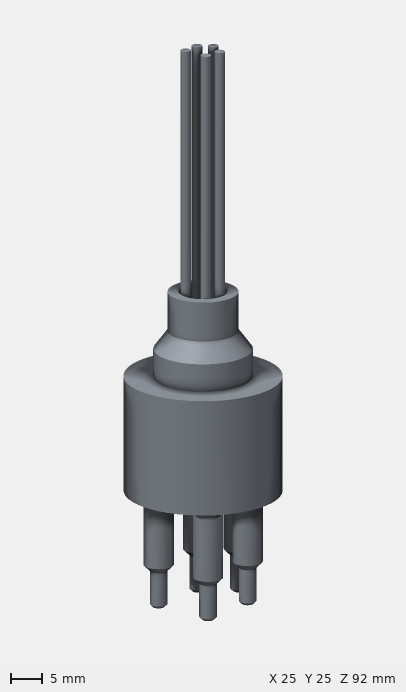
import cadquery as cq

total_height = 92.0
neck_top = 52.0
cone_top = 45.5
cone_bottom = 42.5
body_top = 38.0
body_bottom = 19.0
pin_shoulder = 7.0
pin_tip_top = 6.0

body_diameter = 25.0
collar_diameter = 15.6
neck_diameter = 11.1
recess_diameter = 7.7
recess_floor = cone_top

pin_diameter = 4.8
pin_tip_diameter = 2.8
pin_tip_chamfer = 0.5
pin_offset = 5.0
key_pin_y = 9.0
pin_centers = [(x, y) for x in (-pin_offset, pin_offset) for y in (-pin_offset, pin_offset)]
pin_centers.append((0, key_pin_y))

wire_diameter = 1.7
wire_centers = [(0, 2.6), (2.6, 1.0), (2.0, -1.8), (-2.0, -1.8), (-2.0, 1.0)]


def turn_profile(profile):
    """Turn a closed outline of (radius, height) points fully around the Z axis."""
    return cq.Workplane("XZ").polyline(profile).close().revolve(360, (0, 0), (0, 1))


def make_housing():
    """Body, collar, cone and neck revolved around Z, with a round recess in the top."""
    body_radius = body_diameter / 2
    collar_radius = collar_diameter / 2
    neck_radius = neck_diameter / 2
    recess_radius = recess_diameter / 2
    profile = [
        (0, body_bottom),
        (body_radius, body_bottom),
        (body_radius, body_top),
        (collar_radius, body_top),
        (collar_radius, cone_bottom),
        (neck_radius, cone_top),
        (neck_radius, neck_top),
        (recess_radius, neck_top),
        (recess_radius, recess_floor),
        (0, recess_floor),
    ]
    return turn_profile(profile)


def make_pin():
    """Pin with a conical shoulder and a slimmer tip that is chamfered at its end."""
    pin_radius = pin_diameter / 2
    tip_radius = pin_tip_diameter / 2
    profile = [
        (0, 0),
        (tip_radius - pin_tip_chamfer, 0),
        (tip_radius, pin_tip_chamfer),
        (tip_radius, pin_tip_top),
        (pin_radius, pin_shoulder),
        (pin_radius, body_bottom),
        (0, body_bottom),
    ]
    return turn_profile(profile)


def make_wires():
    """Straight wires rising from the recess floor."""
    floor = cq.Workplane("XY").workplane(offset=recess_floor)
    return floor.pushPoints(wire_centers).circle(wire_diameter / 2).extrude(total_height - recess_floor)


pin = make_pin()
result = make_housing()
for x, y in pin_centers:
    result = result.union(pin.translate((x, y, 0)))
result = result.union(make_wires())